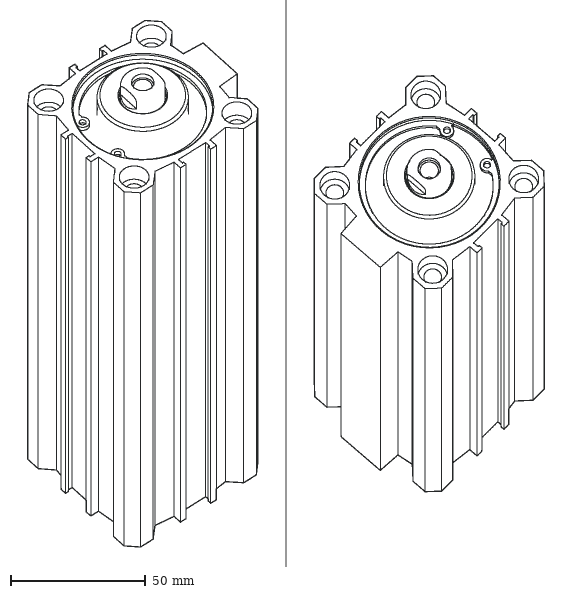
import cadquery as cq

total_height = 213.0
housing_height = 199.4
collar_top = 205.8

outer_width = 65.0
half_width = outer_width / 2
bolt_offset = 25.0
lobe_chamfer_start = 28.1
lobe_flat_start = 22.0
lobe_root = 17.0
wall_at_lobe = 27.7
wall_at_middle = 28.8

rib_outer = 8.7
rib_stem_inner = 6.5
rib_foot_inner = 6.0
rib_foot_thickness = 1.5
rib_side_angles = (-90, 0, 90)

outer_length = 70.0
block_face = outer_length - half_width
block_half_face = 10.0
block_half_root = 10.6

bolt_diameter = 6.5
counterbore_diameter = 11.0
counterbore_depth = 7.5

bore_diameter = 52.2
bore_chamfer = 0.5
groove_diameter = 55.2
ring_thickness = 1.7
shoulder_depth = 4.5
cover_thickness = 21.3
shoulder_height = housing_height - shoulder_depth
ring_top = shoulder_height + ring_thickness
bore_floor = shoulder_height - cover_thickness

ring_inner_diameter = 47.7
lug_x = 10.2
lug_y = -20.7
lug_diameter = 5.1
lug_hole_diameter = 2.5
web_outer_x = 15.0
web_edge_y = -19.2
ring_outer_radius = groove_diameter / 2

collar_diameter = 34.0
collar_chamfer = 1.0
collar_fillet = 0.6
rod_clearance_diameter = 17.7
rod_clearance_depth = 2.1
rod_clearance_chamfer = 0.5

rod_diameter = 16.6
rod_fillet = 2.0
width_across_flats = 13.8
flat_half_width = width_across_flats / 2
thread_diameter = 6.8
thread_mouth_diameter = 8.3
thread_mouth_depth = 2.1
thread_depth = 17.0
thread_tip_depth = 0.6


def cylinder(diameter, bottom, top):
    return cq.Workplane("XY").workplane(offset=bottom).circle(diameter / 2).extrude(top - bottom)


def prism(points, bottom, top):
    return cq.Workplane("XY").workplane(offset=bottom).polyline(points).close().extrude(top - bottom)


def make_core():
    """Square body with a chamfered lobe at each corner."""
    half_side = [
        (lobe_chamfer_start, half_width),
        (lobe_flat_start, half_width),
        (lobe_root, wall_at_lobe),
        (rib_outer, wall_at_middle),
    ]
    side = [(-x, y) for x, y in half_side] + half_side[::-1]
    outline = []
    for _ in range(4):
        outline += side
        side = [(y, -x) for x, y in side]
    return prism(outline, 0, housing_height)


def make_rib_pair():
    """Two ribs on the -Y side whose feet point at each other."""
    foot_back = half_width - rib_foot_thickness
    rib = prism(
        [
            (-rib_outer, -wall_at_lobe),
            (-rib_outer, -half_width),
            (-rib_foot_inner, -half_width),
            (-rib_foot_inner, -foot_back),
            (-rib_stem_inner, -foot_back),
            (-rib_stem_inner, -wall_at_lobe),
        ],
        0,
        housing_height,
    )
    return rib.union(rib.mirror("YZ"))


def make_port_block():
    return prism(
        [
            (-block_half_root, wall_at_lobe),
            (-block_half_face, block_face),
            (block_half_face, block_face),
            (block_half_root, wall_at_lobe),
        ],
        0,
        housing_height,
    )


def make_housing():
    body = make_core().union(make_port_block())
    rib_pair = make_rib_pair()
    for angle in rib_side_angles:
        body = body.union(rib_pair.rotate((0, 0, 0), (0, 0, 1), angle))

    body = body.cut(cylinder(bore_diameter, bore_floor, housing_height))
    body = body.faces(">Z").edges("%CIRCLE").chamfer(bore_chamfer)
    body = body.cut(cylinder(groove_diameter, shoulder_height, ring_top))

    return (
        body.faces(">Z")
        .workplane(origin=(0, 0, housing_height))
        .rect(2 * bolt_offset, 2 * bolt_offset, forConstruction=True)
        .vertices()
        .cboreHole(bolt_diameter, counterbore_diameter, counterbore_depth)
    )


def make_cover():
    """Disc that closes the bore, with a filleted collar around the rod."""
    cover = cylinder(bore_diameter, bore_floor, shoulder_height)
    cover = cover.union(cylinder(collar_diameter, shoulder_height, collar_top))
    cover = cover.faces(">Z").chamfer(collar_chamfer)
    shoulder = cover.faces(cq.selectors.NearestToPointSelector((0, bore_diameter / 2, shoulder_height)))
    cover = shoulder.edges(cq.selectors.RadiusNthSelector(0)).fillet(collar_fillet)

    cover = cover.cut(cylinder(rod_diameter, bore_floor, collar_top))
    cover = cover.cut(cylinder(rod_clearance_diameter, collar_top - rod_clearance_depth, collar_top))
    mouth = cover.faces(">Z").edges(cq.selectors.RadiusNthSelector(0))
    return mouth.chamfer(rod_clearance_chamfer)


def make_ring():
    """Internal retaining ring, open on the -Y side, with a drilled lug at each end."""
    disc = cylinder(groove_diameter, shoulder_height, ring_top)
    ring = disc.cut(cylinder(ring_inner_diameter, shoulder_height, ring_top))
    opening = prism(
        [
            (-lug_x, 0),
            (lug_x, 0),
            (lug_x, -ring_outer_radius),
            (-lug_x, -ring_outer_radius),
        ],
        shoulder_height,
        ring_top,
    )
    ring = ring.cut(opening)
    for side in (-1, 1):
        web = prism(
            [
                (side * lug_x, web_edge_y),
                (side * web_outer_x, web_edge_y),
                (side * web_outer_x, -ring_outer_radius),
                (side * lug_x, -ring_outer_radius),
            ],
            shoulder_height,
            ring_top,
        )
        lug_place = (side * lug_x, lug_y, 0)
        lug = cylinder(lug_diameter, shoulder_height, ring_top).translate(lug_place)
        hole = cylinder(lug_hole_diameter, shoulder_height, ring_top).translate(lug_place)
        ring = ring.union(web.intersect(disc)).union(lug).cut(hole)
    return ring


def make_flat(side):
    """Material removed for one wrench flat, ending in a 45 degree run-out at the collar top."""
    rod_radius = rod_diameter / 2
    run_out = rod_radius - flat_half_width
    profile = [
        (side * flat_half_width, total_height),
        (side * flat_half_width, collar_top + run_out),
        (side * rod_radius, collar_top),
        (side * rod_radius, total_height),
    ]
    return cq.Workplane("YZ").polyline(profile).close().extrude(rod_radius, both=True)


def make_thread_hole():
    """Stepped blind hole with a shallow conical tip, revolved about the rod axis."""
    mouth_radius = thread_mouth_diameter / 2
    thread_radius = thread_diameter / 2
    mouth_floor = total_height - thread_mouth_depth
    thread_end = total_height - thread_depth
    profile = [
        (0, total_height),
        (mouth_radius, total_height),
        (mouth_radius, mouth_floor),
        (thread_radius, mouth_floor),
        (thread_radius, thread_end),
        (0, thread_end - thread_tip_depth),
    ]
    return cq.Workplane("XZ").polyline(profile).close().revolve(360, (0, 0, 0), (0, 1, 0))


def make_rod():
    rod = cylinder(rod_diameter, bore_floor, total_height)
    rod = rod.faces(">Z").edges().fillet(rod_fillet)
    for side in (-1, 1):
        rod = rod.cut(make_flat(side))
    return rod.cut(make_thread_hole())


housing = make_housing()
cover = make_cover()
ring = make_ring()
rod = make_rod()
result = cq.Compound.makeCompound([body.solids().val() for body in (housing, cover, ring, rod)])